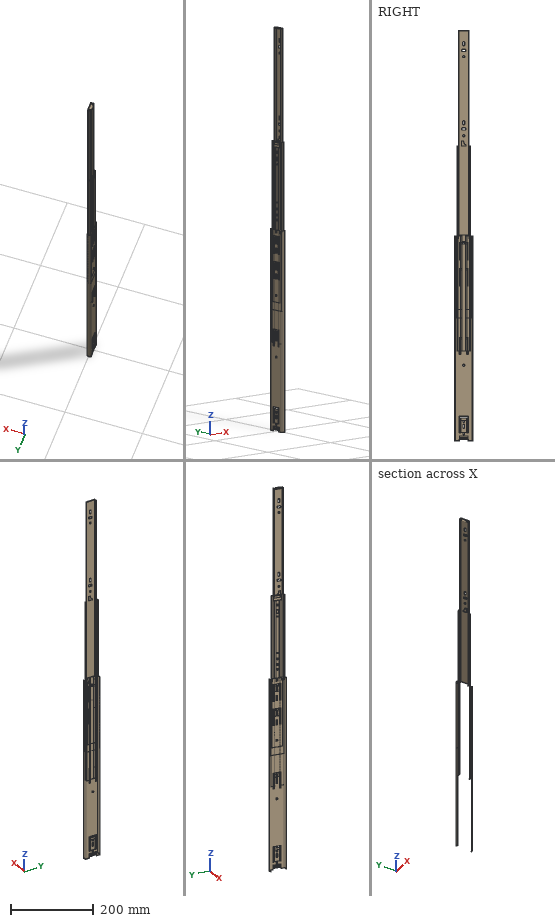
import cadquery as cq


total_length = 1000.0
outer_length = 500.0
middle_length = 500.0
middle_top = 718.5
inner_length = 498.5
slide_depth = 12.7
sheet = 1.2
half_sheet = sheet / 2
overcut = 1.0

outer_half_width = 22.49
outer_depth = 11.3
outer_race_sag = 0.5
middle_half_width = 17.0
middle_back = 2.0
middle_depth_end = 11.9
middle_rib_rise = 1.5
inner_half_width = 12.6
inner_back = 4.0

middle_bottom = middle_top - middle_length
inner_bottom = total_length - inner_length
inner_web_back = slide_depth - sheet


def block(x_span, y_span, z_span):
    """Box given by its (low, high) limits along each axis."""
    size = [high - low for low, high in (x_span, y_span, z_span)]
    return cq.Workplane("XY").box(*size, centered=False).translate((x_span[0], y_span[0], z_span[0]))


def rolled_rail(path, bottom, length):
    """Sheet-metal rail: the centre line of its section thickened and extruded along Z."""
    return path.offset2D(half_sheet).extrude(length).translate((0, 0, bottom))


def web_hole(x_span, height, diameter):
    """Round cutter through a web, centred on the slide."""
    return (
        cq.Workplane("YZ", origin=(x_span[0], 0, 0))
        .center(0, height)
        .circle(diameter / 2)
        .extrude(x_span[1] - x_span[0])
    )


def web_slot(x_span, height, length, width, angle):
    """Round-ended cutter through a web; angle 0 lies along Y and 90 stands along Z."""
    return (
        cq.Workplane("YZ", origin=(x_span[0], 0, 0))
        .center(0, height)
        .slot2D(length, width, angle)
        .extrude(x_span[1] - x_span[0])
    )


outer_web = (-overcut, sheet)
bend_radius = 1.5
race_start = 2.6
race_end = 8.6
lip_inset = 0.8

notch_half_width = 10.6
notch_height = 11.5
bumper_bottom = 3.6

corner_notch_y = (12.8, 19.5)
corner_notch_depth = 7.0
top_slot_width = 4.0
top_slot_depth = 8.0

mount_slot_width = 2.9
mount_slot_centre = 9.0
mount_bridge_height = 3.8
tongue_step = 0.4
fixing_hole = 4.5
fixing_heights = (337.0, 184.0)

mounts = (
    (484.0, 43.5, (0.0, 19.0), ((11.5, 13.0), (35.8, 12.8))),
    (420.0, 42.3, (0.0, 19.5), ((11.5, 13.0), (35.8, 12.8))),
    (252.0, 41.0, (0.0, 11.0), ((7.2, 5.0), (20.5, 15.8))),
    (59.5, 40.0, (9.5, 39.2), ((12.6, 4.4), (24.0, 10.0), (42.3, 4.5))),
)
tongue_slot_width = 3.6


def outer_section():
    wall = outer_half_width - half_sheet - outer_race_sag
    crest = wall + outer_race_sag
    race_middle = (race_start + race_end) / 2
    tip = (outer_depth - half_sheet, wall - lip_inset)
    return (
        cq.Workplane("XY")
        .moveTo(tip[0], tip[1])
        .lineTo(race_end, wall)
        .threePointArc((race_middle, crest), (race_start, wall))
        .lineTo(half_sheet + bend_radius, wall)
        .radiusArc((half_sheet, wall - bend_radius), -bend_radius)
        .lineTo(half_sheet, bend_radius - wall)
        .radiusArc((half_sheet + bend_radius, -wall), -bend_radius)
        .lineTo(race_start, -wall)
        .threePointArc((race_middle, -crest), (race_end, -wall))
        .lineTo(tip[0], -tip[1])
    )


def cut_mount(rail, top, height, recess, slots):
    """U-shaped cut that frees a mounting tongue, with the tongue's own slots."""
    bottom = top - height
    inside = mount_slot_centre - mount_slot_width / 2
    outside = mount_slot_centre + mount_slot_width / 2
    for side in (-1, 1):
        y_span = sorted((side * inside, side * outside))
        rail = rail.cut(block(outer_web, y_span, (bottom, top)))
    rail = rail.cut(block(outer_web, (-inside, inside), (top - mount_bridge_height, top)))
    rail = rail.cut(block((-overcut, tongue_step), (-inside, inside), (top - recess[1], top - recess[0])))
    for drop, length in slots:
        rail = rail.cut(web_slot(outer_web, top - drop, length, tongue_slot_width, 90))
    return rail


def make_outer_rail():
    rail = rolled_rail(outer_section(), 0, outer_length)
    rail = rail.cut(block(outer_web, (-notch_half_width, notch_half_width), (-overcut, notch_height)))
    top = outer_length
    for side in (-1, 1):
        y_span = sorted(side * y for y in corner_notch_y)
        rail = rail.cut(block(outer_web, y_span, (top - corner_notch_depth, top + overcut)))
    half_slot = top_slot_width / 2
    rail = rail.cut(block(outer_web, (-half_slot, half_slot), (top - top_slot_depth, top + overcut)))
    for mount in mounts:
        rail = cut_mount(rail, *mount)
    for height in fixing_heights:
        rail = rail.cut(web_hole(outer_web, height, fixing_hole))
    return rail


bumper_depth = 1.8
bumper_step = 0.4
bumper_groove = (6.0, 8.5)


def make_rear_bumper():
    y_span = (-notch_half_width, notch_half_width)
    bumper = block((0, bumper_depth), y_span, (bumper_bottom, notch_height))
    return bumper.cut(block((-overcut, bumper_step), y_span, bumper_groove))


cage_sheet = 0.5
cage_back = 1.35
cage_front = 9.0
cage_half_width = 19.2
cage_span = (300.0, 497.0)
cage_bridge = 20.0
cage_opening = 14.0


def make_ball_cage():
    cage = block((cage_back, cage_front), (-cage_half_width, cage_half_width), cage_span)
    inside = cage_half_width - cage_sheet
    cage = cage.cut(block((cage_back + cage_sheet, cage_front), (-inside, inside), cage_span))
    opening = (cage_span[0] + cage_bridge, cage_span[1])
    return cage.cut(block((0, cage_front), (-cage_opening, cage_opening), opening))


rib_half_width = 4.6
rib_foot_half_width = 7.5
middle_web = (middle_back - overcut, middle_back + middle_rib_rise + sheet)
middle_race_start = 4.8
middle_race_sag = 0.5
middle_lip_start = 8.8
middle_lip_inset = 1.2
middle_lip_bulge = 0.35

stop_head_half_width = 9.0
stop_bar_half_width = 11.0
stop_bar = (704.0, 711.0)
stop_depth = 3.6
stop_groove = (711.0, 716.0)
stop_groove_depth = 0.4

middle_holes = (
    (692.0, 5.0),
    (662.0, 2.6),
    (566.8, 2.6),
    (551.5, 4.5),
    (536.5, 4.5),
    (524.0, 4.5),
    (483.4, 6.4),
)
middle_slot_height = 675.0
middle_slot_length = 10.0
middle_slot_width = 5.0


def middle_section():
    wall = middle_half_width - half_sheet
    foot = middle_back + half_sheet
    rib = foot + middle_rib_rise
    tip = (middle_depth_end - half_sheet, wall - middle_lip_inset)
    bend = ((middle_lip_start + tip[0]) / 2, (wall + tip[1]) / 2 + middle_lip_bulge)
    race = ((middle_race_start + middle_lip_start) / 2, wall - middle_race_sag)
    return (
        cq.Workplane("XY")
        .moveTo(tip[0], tip[1])
        .threePointArc(bend, (middle_lip_start, wall))
        .threePointArc(race, (middle_race_start, wall))
        .lineTo(foot, wall)
        .lineTo(foot, rib_foot_half_width)
        .lineTo(rib, rib_half_width)
        .lineTo(rib, -rib_half_width)
        .lineTo(foot, -rib_foot_half_width)
        .lineTo(foot, -wall)
        .lineTo(middle_race_start, -wall)
        .threePointArc((race[0], -race[1]), (middle_lip_start, -wall))
        .threePointArc((bend[0], -bend[1]), (tip[0], -tip[1]))
    )


def stop_outline(x_span):
    """T-shaped block: a head up to the rail end on a wider crossbar."""
    head = block(x_span, (-stop_head_half_width, stop_head_half_width), (stop_bar[1], middle_top))
    bar = block(x_span, (-stop_bar_half_width, stop_bar_half_width), stop_bar)
    return head.union(bar)


def make_middle_rail():
    rail = rolled_rail(middle_section(), middle_bottom, middle_length)
    rail = rail.cut(stop_outline(middle_web))
    for height, diameter in middle_holes:
        rail = rail.cut(web_hole(middle_web, height, diameter))
    return rail.cut(web_slot(middle_web, middle_slot_height, middle_slot_length, middle_slot_width, 90))


def make_front_stop():
    stop = stop_outline((middle_back, stop_depth))
    groove_half_width = stop_head_half_width
    groove = block(
        (middle_back, middle_back + stop_groove_depth), (-groove_half_width, groove_half_width), stop_groove
    )
    return stop.cut(groove)


inner_web = (inner_web_back, slide_depth + overcut)
inner_race = (6.8, 10.5)
inner_race_sag = 0.5
tab_tip = 2.8
tab_root_half_width = 11.2
tab_tip_half_width = 5.0
inner_slot = (10.0, 4.5)
inner_cross_slot = (10.0, 5.0)
inner_hole = 4.5
inner_groups = ((968.4, 952.0, 937.0), (775.6, 760.5, 744.0))


def inner_section():
    wall = inner_half_width - half_sheet
    web = slide_depth - half_sheet
    tip = inner_back + half_sheet
    race_low, race_high = inner_race
    race = ((race_low + race_high) / 2, wall - inner_race_sag)
    return (
        cq.Workplane("XY")
        .moveTo(tip, wall)
        .lineTo(race_low, wall)
        .threePointArc(race, (race_high, wall))
        .lineTo(web, wall)
        .lineTo(web, -wall)
        .lineTo(race_high, -wall)
        .threePointArc((race[0], -race[1]), (race_low, -wall))
        .lineTo(tip, -wall)
    )


def make_inner_rail():
    rail = rolled_rail(inner_section(), inner_bottom, inner_length)
    tab = (
        cq.Workplane("XY", origin=(0, 0, total_length - sheet))
        .polyline(
            [
                (inner_web_back, -tab_root_half_width),
                (inner_web_back, tab_root_half_width),
                (tab_tip, tab_tip_half_width),
                (tab_tip, -tab_tip_half_width),
            ]
        )
        .close()
        .extrude(sheet)
    )
    rail = rail.union(tab)
    for slot_height, cross_height, hole_height in inner_groups:
        rail = rail.cut(web_slot(inner_web, slot_height, *inner_slot, 90))
        rail = rail.cut(web_slot(inner_web, cross_height, *inner_cross_slot, 0))
        rail = rail.cut(web_hole(inner_web, hole_height, inner_hole))
    return rail


lever_thickness = 2.0
lever_outline = ((5.0, 719.5), (5.0, 721.5), (0.5, 725.5), (-0.5, 731.0), (-5.0, 731.0), (-5.0, 719.5))


def make_release_lever():
    return (
        cq.Workplane("YZ", origin=(inner_web_back - lever_thickness, 0, 0))
        .polyline(lever_outline)
        .close()
        .extrude(lever_thickness)
    )


outer_rail = make_outer_rail()
rear_bumper = make_rear_bumper()
ball_cage = make_ball_cage()
middle_rail = make_middle_rail()
front_stop = make_front_stop()
inner_rail = make_inner_rail()
release_lever = make_release_lever()

bodies = (outer_rail, rear_bumper, ball_cage, middle_rail, front_stop, inner_rail, release_lever)
result = cq.Compound.makeCompound([body.solids().val() for body in bodies])